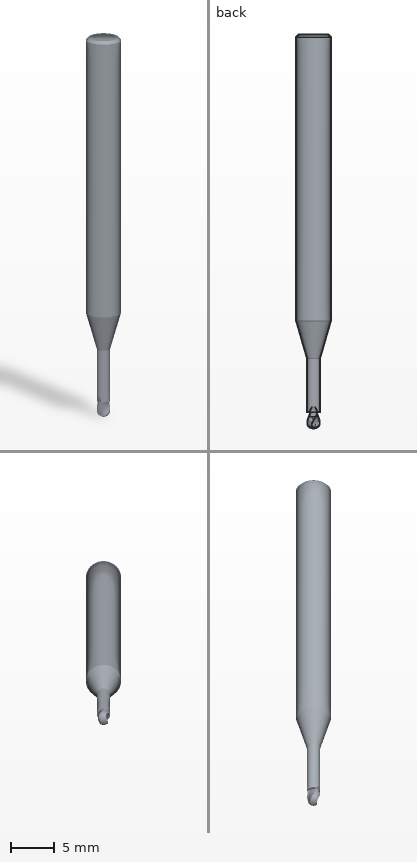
import cadquery as cq
import math

length = 45.0
shank_radius = 2.002
shank_chamfer = 0.3
taper_top = 12.35
taper_bottom = 8.05
neck_radius = 0.75
neck_end = 1.9

head_radius = neck_radius
head_length = 1.35
throat_radius = 0.68
web_thickness = 0.8
tip_angle = 20.0
twist_per_unit = 40.0
blank_width = 3 * head_radius

runout_top = 2.5
runout_depth = 0.15


def twisted_web(start, end):
    """Two-edged web between two heights, turning steadily about the tool axis."""
    height = end - start
    return (
        cq.Workplane("XY")
        .workplane(offset=start)
        .transformed(rotate=(0, 0, tip_angle + twist_per_unit * start))
        .rect(blank_width, web_thickness)
        .twistExtrude(height, twist_per_unit * height)
    )


def turned_shank():
    """Chamfered shank, conical taper and slender neck."""
    return (
        cq.Workplane("XZ")
        .moveTo(0, neck_end)
        .lineTo(neck_radius, neck_end)
        .lineTo(neck_radius, taper_bottom)
        .lineTo(shank_radius, taper_top)
        .lineTo(shank_radius, length - shank_chamfer)
        .lineTo(shank_radius - shank_chamfer, length)
        .lineTo(0, length)
        .close()
        .revolve(360, (0, 0), (0, 1))
    )


def flute_runout(side):
    """Wedge that leaves a sloping flat on one side of the neck end."""
    return (
        cq.Workplane("YZ")
        .moveTo(side * neck_radius, runout_top)
        .lineTo(side * (neck_radius - runout_depth), neck_end)
        .lineTo(side * neck_radius, neck_end)
        .close()
        .extrude(neck_radius, both=True)
    )


def make_shank():
    """Shank body, ending in the fluted throat that carries the cutting head."""
    throat = (
        cq.Workplane("XY")
        .workplane(offset=head_length)
        .circle(throat_radius)
        .extrude(neck_end - head_length)
        .intersect(twisted_web(head_length, neck_end))
    )
    body = turned_shank()
    for side in (-1, 1):
        body = body.cut(flute_runout(side))
    return body.union(throat)


def make_cutting_head():
    """Ball-nosed cutting head with two helical flutes."""
    arc_offset = head_radius * math.sqrt(0.5)
    blank = (
        cq.Workplane("XZ")
        .moveTo(0, 0)
        .threePointArc((arc_offset, head_radius - arc_offset), (head_radius, head_radius))
        .lineTo(head_radius, head_length)
        .lineTo(0, head_length)
        .close()
        .revolve(360, (0, 0), (0, 1))
    )
    return blank.intersect(twisted_web(0, head_length))


shank = make_shank()
cutting_head = make_cutting_head()

result = cq.Compound.makeCompound([shank.val(), cutting_head.val()])